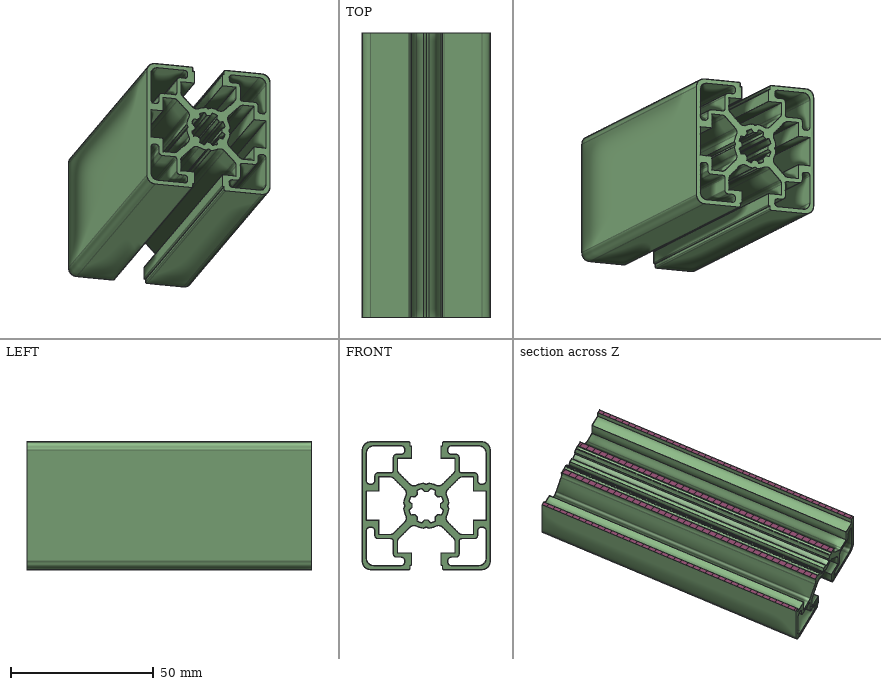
import cadquery as cq
import math

LENGTH = 100.0
SIDE = 45.0
HALF = SIDE / 2
OUTER_RADIUS = 3.0

WALL = 1.5
LIP_DEPTH = 5.9
SLOT_HALF_OPENING = 5.1
SLOT_HALF_WIDTH = 10.1
MOUTH_HALF_OPENING = 5.7
MOUTH_DEPTH = 1.5
MOUTH_RADIUS = 0.5
LIP_RADIUS = 0.4
LIP_THICKNESS = 2.5
WEB_THICKNESS = 2.6
WEB_FILLET = 2.0

CHAMBER_CORNER_RADIUS = 2.5
CHAMBER_END_RADIUS = 1.2
CHAMBER_STEP_RADIUS = 1.2
CHAMBER_ROOT_RADIUS = 0.8

CORE_RADIUS = 8.0
CORE_FILLET = 2.0
MARK_HALF_WIDTH = 0.9
MARK_BOTTOM = 7.5

BORE_RADIUS = 6.2
TOOTH_RADIUS = 5.0
TOOTH_COUNT = 8
TOOTH_TIP_HALF_WIDTH = 0.7
TOOTH_ROOT_HALF_WIDTH = 1.6


def section():
    """XZ sketch plane at the Y end of the part; extruding runs along -Y."""
    return cq.Workplane("XZ", origin=(0, LENGTH / 2, 0))


def turned(body, angle):
    return body.rotate((0, 0, 0), (0, 1, 0), angle)


def mirrored(points):
    """Outline made of its right half followed by the mirror image about the Z axis."""
    return points + [(-x, z) for x, z in reversed(points)]


def edges_at(body, points):
    """Lengthwise edges of a cutter that pass through the given section points."""
    edges = [body.edges(cq.selectors.NearestToPointSelector((x, 0, z))).val() for x, z in points]
    return body.newObject(edges)


def slot(top):
    """Slot cavity on the +Z side, ending at height `top`, down to the central tube."""
    web_offset = WEB_THICKNESS / math.sqrt(2)
    lip_under = HALF - LIP_DEPTH
    cavity = section().polyline([(0, web_offset)] + mirrored([
        (SLOT_HALF_WIDTH, SLOT_HALF_WIDTH + web_offset),
        (SLOT_HALF_WIDTH, lip_under),
        (SLOT_HALF_OPENING, lip_under),
        (SLOT_HALF_OPENING, top),
    ])).close().extrude(LENGTH)
    cavity = cavity.cut(section().circle(CORE_RADIUS).extrude(LENGTH))

    meet_x = (math.sqrt(2 * CORE_RADIUS**2 - web_offset**2) - web_offset) / 2
    meet_z = meet_x + web_offset
    cavity = edges_at(cavity, [(meet_x, meet_z), (-meet_x, meet_z)]).fillet(CORE_FILLET)

    bend_z = SLOT_HALF_WIDTH + web_offset
    bends = [(SLOT_HALF_WIDTH, bend_z), (-SLOT_HALF_WIDTH, bend_z)]
    cavity = edges_at(cavity, bends).fillet(WEB_FILLET)

    mark_edge = math.sqrt(CORE_RADIUS**2 - MARK_HALF_WIDTH**2)
    mark = section().polyline([
        (0, MARK_BOTTOM),
        (MARK_HALF_WIDTH, mark_edge),
        (0, CORE_RADIUS + MARK_HALF_WIDTH),
        (-MARK_HALF_WIDTH, mark_edge),
    ]).close().extrude(LENGTH)
    return cavity.union(mark)


def flared_passage(half_width, bottom, top, radius):
    """Lengthwise cutter from `bottom` up to `top`, where both sides flare out over a round edge."""
    flare = half_width + radius
    bend = radius * (1 - math.sqrt(0.5))
    return (
        section()
        .moveTo(-half_width, bottom)
        .lineTo(half_width, bottom)
        .lineTo(half_width, top - radius)
        .threePointArc((half_width + bend, top - bend), (flare, top))
        .lineTo(-flare, top)
        .threePointArc((-half_width - bend, top - bend), (-half_width, top - radius))
        .close()
        .extrude(LENGTH)
    )


def open_slot():
    """Slot that opens through the outer face with a wider, rounded step at its mouth."""
    step = HALF - MOUTH_DEPTH
    throat = flared_passage(SLOT_HALF_OPENING, HALF - LIP_DEPTH, step, LIP_RADIUS)
    mouth = flared_passage(MOUTH_HALF_OPENING, step, HALF, MOUTH_RADIUS)
    return slot(step).union(throat).union(mouth)


def chamber():
    """Hollow in the +X +Z corner, symmetric about the diagonal."""
    outer = HALF - WALL
    end = SLOT_HALF_OPENING + LIP_THICKNESS
    root = SLOT_HALF_WIDTH + WALL
    step = HALF - LIP_DEPTH + WALL
    body = section().polyline([
        (outer, outer), (end, outer), (end, step), (root, step),
        (root, root), (step, root), (step, end), (outer, end),
    ]).close().extrude(LENGTH)
    body = edges_at(body, [(outer, outer)]).fillet(CHAMBER_CORNER_RADIUS)
    body = edges_at(body, [(root, root)]).fillet(CHAMBER_ROOT_RADIUS)
    body = edges_at(body, [(root, step), (step, root)]).fillet(CHAMBER_STEP_RADIUS)
    ends = [(end, outer), (end, step), (outer, end), (step, end)]
    return edges_at(body, ends).fillet(CHAMBER_END_RADIUS)


def bore():
    """Round bore less the tapered teeth that stand in from its wall."""
    body = section().circle(BORE_RADIUS).extrude(LENGTH)
    tooth = section().polyline(mirrored([
        (TOOTH_TIP_HALF_WIDTH, 0),
        (TOOTH_TIP_HALF_WIDTH, TOOTH_RADIUS),
        (TOOTH_ROOT_HALF_WIDTH, BORE_RADIUS),
    ])).close().extrude(LENGTH)
    tooth = tooth.cut(section().circle(TOOTH_RADIUS).extrude(LENGTH))
    for i in range(TOOTH_COUNT):
        body = body.cut(turned(tooth, i * 360 / TOOTH_COUNT))
    return body


result = section().rect(SIDE, SIDE).extrude(LENGTH).edges("|Y").fillet(OUTER_RADIUS)

for i in range(4):
    result = result.cut(turned(chamber(), 90 * i))
for angle in (0, 180):
    result = result.cut(turned(open_slot(), angle))
    result = result.cut(turned(slot(HALF - WALL), angle + 90))
result = result.cut(bore())